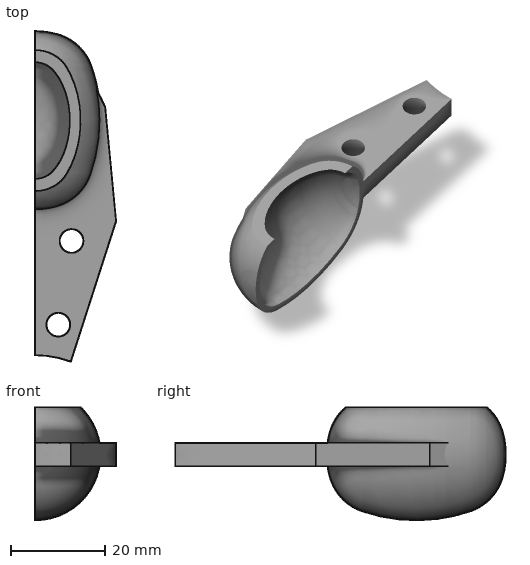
import cadquery as cq
import math

HALF_LENGTH = 19.05
MAX_RADIUS = 14.0
WALL = 1.5
BARREL_ARC = 35.1
SHOULDER_ARC = 10.9
SHOULDER_START = 11.45
RIM_HEIGHT = 10.05

ARM_THICKNESS = 5.0
ARM_BURIED_CORNER = (11.65, 9.6)
ARM_UPPER_CORNER = (14.95, 2.9)
ARM_WIDE_CORNER = (17.3, -21.35)
ARM_TIP = (7.65, HALF_LENGTH - 70.25)
TIP_ARC = 22.05
HOLE_DIAMETER = 5.0
HOLE_CENTERS = [(7.8, -25.6), (5.0, -43.35)]


def oval_solid(inset):
    """Solid of revolution bounded by tangent arcs, offset inward by inset."""
    barrel_center = MAX_RADIUS - BARREL_ARC
    tilt = math.asin(SHOULDER_START / BARREL_ARC)
    center_gap = BARREL_ARC - SHOULDER_ARC
    shoulder_center = (
        barrel_center + center_gap * math.cos(tilt),
        center_gap * math.sin(tilt),
    )

    reach = HALF_LENGTH - shoulder_center[1]
    cap_arc = (reach**2 + shoulder_center[0] ** 2 - SHOULDER_ARC**2) / (2 * (reach - SHOULDER_ARC))
    cap_center = HALF_LENGTH - cap_arc
    cap_tilt = math.atan2(shoulder_center[1] - cap_center, shoulder_center[0])

    def shoulder_point(angle):
        radius = SHOULDER_ARC - inset
        return (
            shoulder_center[0] + radius * math.cos(angle),
            shoulder_center[1] + radius * math.sin(angle),
        )

    def mirrored(point):
        return (point[0], -point[1])

    shoulder_start = shoulder_point(tilt)
    shoulder_middle = shoulder_point((tilt + cap_tilt) / 2)
    shoulder_end = shoulder_point(cap_tilt)
    middle_cap_tilt = (cap_tilt + math.pi / 2) / 2
    cap_middle = (
        (cap_arc - inset) * math.cos(middle_cap_tilt),
        cap_center + (cap_arc - inset) * math.sin(middle_cap_tilt),
    )
    pole = (0, HALF_LENGTH - inset)

    profile = (
        cq.Workplane("XY")
        .moveTo(*mirrored(pole))
        .threePointArc(mirrored(cap_middle), mirrored(shoulder_end))
        .threePointArc(mirrored(shoulder_middle), mirrored(shoulder_start))
        .threePointArc((MAX_RADIUS - inset, 0), shoulder_start)
        .threePointArc(shoulder_middle, shoulder_end)
        .threePointArc(cap_middle, pole)
        .close()
    )
    return profile.revolve(360, (0, 0, 0), (0, 1, 0))


def keep_region():
    """Block bounded by the flat face at X = 0 and the rim plane."""
    size = 4 * HALF_LENGTH
    return (
        cq.Workplane("XY")
        .box(size, size, size, centered=(False, True, False))
        .translate((0, 0, RIM_HEIGHT - size))
    )


def arm():
    """Flat arm, starting inside the bowl and ending in a concave arc."""
    arc_center_y = ARM_TIP[1] - math.sqrt(TIP_ARC**2 - ARM_TIP[0] ** 2)
    half_sweep = math.asin(ARM_TIP[0] / TIP_ARC) / 2
    arc_middle = (
        TIP_ARC * math.sin(half_sweep),
        arc_center_y + TIP_ARC * math.cos(half_sweep),
    )
    plate = (
        cq.Workplane("XY")
        .moveTo(0, ARM_BURIED_CORNER[1])
        .lineTo(*ARM_BURIED_CORNER)
        .lineTo(*ARM_UPPER_CORNER)
        .lineTo(*ARM_WIDE_CORNER)
        .lineTo(*ARM_TIP)
        .threePointArc(arc_middle, (0, arc_center_y + TIP_ARC))
        .close()
        .extrude(ARM_THICKNESS / 2, both=True)
    )
    holes = (
        cq.Workplane("XY")
        .pushPoints(HOLE_CENTERS)
        .circle(HOLE_DIAMETER / 2)
        .extrude(ARM_THICKNESS, both=True)
    )
    return plate.cut(holes)


bowl = oval_solid(0).intersect(keep_region())
result = bowl.union(arm()).cut(oval_solid(WALL))